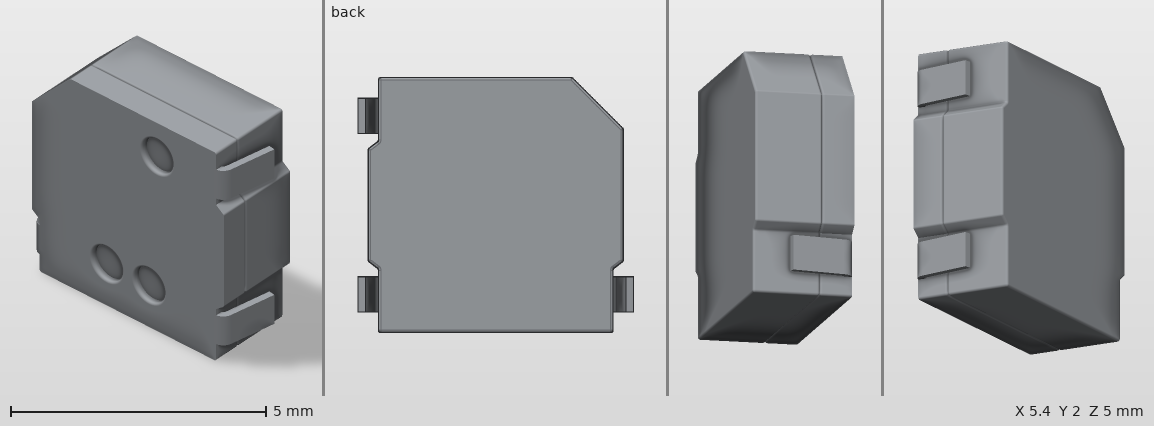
import cadquery as cq
import math

side = 5.0
depth = 2.0
half_side = side / 2
bevel = 1.005
notch_inset = 0.2
notch_height = 1.25
notch_ramp = 0.15
inset_x = half_side - notch_inset
notch_z = half_side - notch_height
edge_radius = 0.05
seam_depth = 0.65

socket_radius = 0.4
socket_depth = 0.15
socket_rim_radius = 0.05
lower_socket_x = 0.55
lower_socket_z = -1.5
upper_socket_x = 0.76
upper_socket_z = 1.695
socket_places = [
    (-lower_socket_x, lower_socket_z),
    (lower_socket_x, lower_socket_z),
    (upper_socket_x, upper_socket_z),
]

span = 5.4
terminal_width = 0.695
terminal_thickness = 0.15
terminal_z = 1.75
foot_inner_x = 1.5
foot_outer_x = 2.26
bend_radius = 0.255
lean = math.radians(10)
terminal_places = [(1, 1), (1, -1), (-1, -1)]


def housing_layer(front_y, back_y):
    """Slab with the outline of the housing."""
    ramp_z = notch_z - notch_ramp
    outline = [
        (-half_side + bevel, half_side),
        (inset_x, half_side),
        (inset_x, notch_z),
        (half_side, ramp_z),
        (half_side, -ramp_z),
        (inset_x, -notch_z),
        (inset_x, -half_side),
        (-inset_x, -half_side),
        (-inset_x, -notch_z),
        (-half_side, -ramp_z),
        (-half_side, half_side - bevel),
    ]
    return (
        cq.Workplane("XZ", origin=(0, front_y, 0))
        .polyline(outline)
        .close()
        .extrude(front_y - back_y)
    )


def make_front_layer():
    """Front layer: outward corners and the seam edge rounded, inward notch corners left sharp."""
    notch_corners = cq.selectors.BoxSelector(
        (-inset_x - edge_radius, 0, -notch_z - edge_radius),
        (inset_x + edge_radius, depth, notch_z + edge_radius),
    )
    outward_corners = cq.StringSyntaxSelector("|Y") - notch_corners
    layer = housing_layer(0, seam_depth).edges(outward_corners).fillet(edge_radius)
    return layer.faces(">Y").edges().fillet(edge_radius)


def make_back_layer():
    """Back layer: all corners and both rims rounded."""
    layer = housing_layer(seam_depth, depth).edges("|Y").fillet(edge_radius)
    return layer.faces("<Y or >Y").edges().fillet(edge_radius)


def socket(x, z):
    """Cutter for one round socket with a rounded rim."""
    rim_outer = socket_radius + socket_rim_radius
    rim_rise = socket_rim_radius * (1 - math.sqrt(0.5))
    return (
        cq.Workplane("XY")
        .lineTo(rim_outer, 0)
        .threePointArc((socket_radius + rim_rise, rim_rise), (socket_radius, socket_rim_radius))
        .lineTo(socket_radius, socket_depth)
        .lineTo(0, socket_depth)
        .close()
        .revolve(360, (0, 0, 0), (0, 1, 0))
        .translate((x, 0, z))
    )


def bend_point(radius, angle):
    """Point on the bend, with the angle measured from the foot's end."""
    return (
        foot_outer_x + radius * math.sin(angle),
        bend_radius - radius * math.cos(angle),
    )


def make_terminal(x_sign, z_sign):
    """One bent terminal on the side and at the height given by the signs."""
    inner_radius = bend_radius - terminal_thickness
    bend_angle = math.pi / 2 - lean
    outer_start = bend_point(bend_radius, bend_angle)
    inner_start = bend_point(inner_radius, bend_angle)
    reach_x = span / 2 - outer_start[0]
    reach_y = reach_x / math.tan(lean)
    terminal = (
        cq.Workplane("XY")
        .moveTo(foot_inner_x, 0)
        .lineTo(foot_outer_x, 0)
        .threePointArc(bend_point(bend_radius, bend_angle / 2), outer_start)
        .lineTo(outer_start[0] + reach_x, outer_start[1] + reach_y)
        .lineTo(inner_start[0] + reach_x, inner_start[1] + reach_y)
        .lineTo(*inner_start)
        .threePointArc(bend_point(inner_radius, bend_angle / 2), (foot_outer_x, terminal_thickness))
        .lineTo(foot_inner_x, terminal_thickness)
        .close()
        .extrude(terminal_width / 2, both=True)
    )
    if x_sign < 0:
        terminal = terminal.mirror("YZ")
    return terminal.translate((0, 0, z_sign * terminal_z))


def foot_seat(x_sign, z_sign):
    """Cutter for the straight channel that holds a foot and runs out through the housing side."""
    seat_x = x_sign * (half_side + foot_inner_x) / 2
    return (
        cq.Workplane("XY")
        .box(half_side - foot_inner_x, terminal_thickness, terminal_width)
        .translate((seat_x, terminal_thickness / 2, z_sign * terminal_z))
    )


def make_housing(terminals):
    """Housing with a seam groove, sockets and seats for the terminal feet."""
    housing = make_front_layer().union(make_back_layer())
    for x, z in socket_places:
        housing = housing.cut(socket(x, z))
    for x_sign, z_sign in terminal_places:
        housing = housing.cut(foot_seat(x_sign, z_sign))
    for terminal in terminals:
        housing = housing.cut(terminal)
    return housing


terminals = [make_terminal(x_sign, z_sign) for x_sign, z_sign in terminal_places]
housing = make_housing(terminals)

result = cq.Compound.makeCompound([housing.val(), *[terminal.val() for terminal in terminals]])